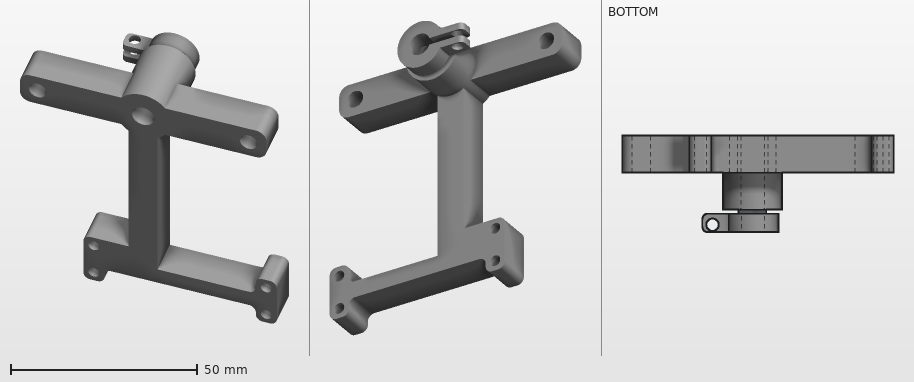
import cadquery as cq


plate_thickness = 10.0
boss_radius = 8.0
boss_length = 2 * plate_thickness
bore_diameter = 6.4
total_height = 74.5
bottom_z = boss_radius - total_height

arm_half_length = 35.0
arm_height = 10.0
arm_corner_radius = 3.0
arm_hole_spacing = 60.0
arm_hole_diameter = 5.0

column_width = 8.2
foot_left_x = -17.0
foot_right_x = 38.0
foot_height = 16.0
foot_top_z = bottom_z + foot_height
pad_width = 5.95
pad_left_inner_x = foot_left_x + pad_width
pad_right_inner_x = foot_right_x - pad_width
foot_bar_height = 5.0
pad_drop = 5.0
foot_bar_bottom_z = bottom_z + pad_drop
foot_bar_top_z = foot_bar_bottom_z + foot_bar_height
foot_fillet = 2.0
foot_hole_inset = pad_width / 2
foot_hole_diameter = 3.2

clamp_radius = 7.0
clamp_width = 5.0
total_depth = 26.0
clamp_front_y = total_depth - clamp_width
neck_width = 7.5
slot_height = 2.0
lug_thickness = 2.0
lug_half_height = slot_height / 2 + lug_thickness
lug_end_x = -13.5
lug_corner_radius = 1.5
lug_hole_diameter = 3.3
lug_hole_x = -10.7
lug_hole_inset = 2.0


def box(x0, x1, y0, y1, z0, z1):
    """Axis-aligned block between two opposite corners."""
    return cq.Workplane("XY").box(x1 - x0, y1 - y0, z1 - z0, centered=False).translate((x0, y0, z0))


def cylinders(points, diameter, y0, y1):
    """Cylinders along Y, centred at the given (x, z) points."""
    return (
        cq.Workplane("XZ", origin=(0, y0, 0))
        .pushPoints(points)
        .circle(diameter / 2)
        .extrude(y0 - y1)
    )


def make_arm():
    half_height = arm_height / 2
    arm = box(-arm_half_length, arm_half_length, 0, plate_thickness, -half_height, half_height)
    arm = arm.edges("|Y").fillet(arm_corner_radius)
    hole_points = [(side * arm_hole_spacing / 2, 0) for side in (-1, 1)]
    return arm.cut(cylinders(hole_points, arm_hole_diameter, 0, plate_thickness))


def make_foot():
    """Bar joining two rounded screw pads; the left pad is filled in up to the column."""
    column_right_x = column_width / 2
    outline = [
        (foot_left_x, bottom_z),
        (pad_left_inner_x, bottom_z),
        (pad_left_inner_x, foot_bar_bottom_z),
        (pad_right_inner_x, foot_bar_bottom_z),
        (pad_right_inner_x, bottom_z),
        (foot_right_x, bottom_z),
        (foot_right_x, foot_top_z),
        (pad_right_inner_x, foot_top_z),
        (pad_right_inner_x, foot_bar_top_z),
        (column_right_x, foot_bar_top_z),
        (column_right_x, foot_top_z),
        (foot_left_x, foot_top_z),
    ]
    foot = cq.Workplane("XZ").polyline(outline).close().extrude(-plate_thickness)
    margin = 0.75
    column_side = cq.selectors.BoxSelector(
        (column_right_x - margin, -margin, foot_bar_top_z - margin),
        (column_right_x + margin, plate_thickness + margin, foot_top_z + margin),
    )
    along_y = cq.selectors.ParallelDirSelector(cq.Vector(0, 1, 0))
    foot = foot.edges(along_y - column_side).fillet(foot_fillet)
    hole_points = [
        (x, z)
        for x in (foot_left_x + foot_hole_inset, foot_right_x - foot_hole_inset)
        for z in (bottom_z + foot_hole_inset, foot_top_z - foot_hole_inset)
    ]
    return foot.cut(cylinders(hole_points, foot_hole_diameter, 0, plate_thickness))


def make_bracket():
    """Cross arm, column and foot in one plate, with a long bored boss behind the arm."""
    half_width = column_width / 2
    column = box(-half_width, half_width, 0, plate_thickness, foot_bar_top_z, 0)
    boss = cylinders([(0, 0)], 2 * boss_radius, 0, boss_length)
    bracket = make_arm().union(column).union(make_foot()).union(boss)
    return bracket.cut(cylinders([(0, 0)], bore_diameter, 0, boss_length))


def make_clamp():
    """Split ring with two screw lugs, standing on a short neck against the boss."""
    ring = cylinders([(0, 0)], 2 * clamp_radius, clamp_front_y, total_depth)
    lugs = box(lug_end_x, 0, clamp_front_y, total_depth, -lug_half_height, lug_half_height)
    lugs = lugs.edges("|Z and <X").fillet(lug_corner_radius)

    half_neck = neck_width / 2
    neck = cylinders([(0, 0)], 2 * clamp_radius, boss_length, clamp_front_y)
    neck = neck.intersect(
        box(-half_neck, half_neck, boss_length, clamp_front_y, lug_half_height, clamp_radius)
    )

    bore = cylinders([(0, 0)], bore_diameter, boss_length, total_depth)
    slot = box(lug_end_x, 0, clamp_front_y, total_depth, -slot_height / 2, slot_height / 2)
    screw_hole = (
        cq.Workplane("XY", origin=(lug_hole_x, total_depth - lug_hole_inset, 0))
        .circle(lug_hole_diameter / 2)
        .extrude(lug_half_height, both=True)
    )
    return ring.union(lugs).union(neck).cut(bore).cut(slot).cut(screw_hole)


bracket = make_bracket()
clamp = make_clamp()
result = cq.Compound.makeCompound([bracket.val(), clamp.val()])